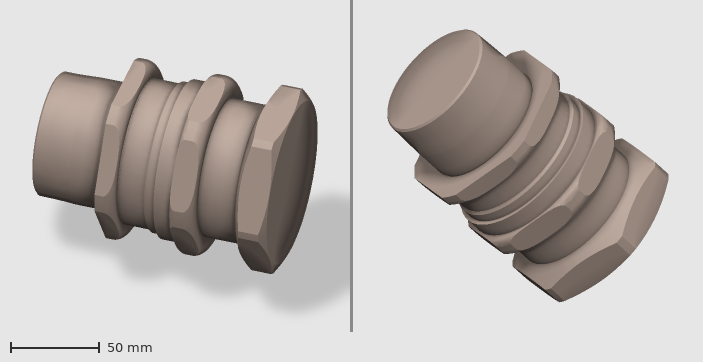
import cadquery as cq
import math


ACROSS_FLATS = 95.0
ROUNDED_NUT_D = 103.5

TAPER_END = 22.4
NECK_START = 41.8
LOCK_NUT_START = 42.2
LOCK_NUT_END = 52.6
SLEEVE_START = 68.2
RIM_START = 75.3
MIDDLE_NUT_START = 75.9
MIDDLE_HEX_START = 85.4
MIDDLE_HEX_END = 99.5
CAP_HEX_START = 121.2
TOTAL_LENGTH = 142.6

SPIGOT_D = 73.0
SPIGOT_TIP_D = 71.6
TIP_CHAMFER = 1.1
NECK_D = 71.9
NECK_INSERTION = 4.3

LOCK_ROUND_R = 6.0
LOCK_BARREL_D = 84.1
SOCKET_MOUTH_D = 74.0
COLLAR_D = 84.4
COLLAR_LENGTH = 0.7

SLEEVE_D = 87.3
SLEEVE_CHAMFER = 1.4

MIDDLE_FLANGE_D = 92.1
MIDDLE_FRONT_ROUND_R = 4.0
MIDDLE_REAR_ROUND_R = 6.0

CAP_BARREL_D = 79.9
CAP_CORNER_D = 107.0
CAP_CONE_LENGTH = 6.5
CAP_REAR_BEVEL_LENGTH = 3.0
CAP_REAR_FACE_D = 94.1


def revolve_profile(profile):
    """Revolve a closed half profile, drawn as (x, radius), about the X axis."""
    return profile.close().revolve(360, (0, 0, 0), (1, 0, 0))


def cylinder(diameter, start, end):
    return cq.Workplane("YZ", origin=(start, 0, 0)).circle(diameter / 2).extrude(end - start)


def hex_prism(start, end):
    across_corners = ACROSS_FLATS / math.cos(math.pi / 6)
    return cq.Workplane("YZ", origin=(start, 0, 0)).polygon(6, across_corners).extrude(end - start)


def rounded_hex(start, end, front_round, rear_round):
    """Hexagonal prism whose corners are trimmed by a disc with rounded rims."""
    disc = cylinder(ROUNDED_NUT_D, start, end).faces(">X").edges().fillet(rear_round)
    if front_round > 0:
        disc = disc.faces("<X").edges().fillet(front_round)
    return hex_prism(start, end).intersect(disc)


def make_spigot():
    tip_r = SPIGOT_TIP_D / 2
    outline = (
        cq.Workplane("XY")
        .moveTo(0, 0)
        .lineTo(0, tip_r - TIP_CHAMFER)
        .lineTo(TIP_CHAMFER, tip_r)
        .lineTo(TAPER_END, SPIGOT_D / 2)
        .lineTo(NECK_START, SPIGOT_D / 2)
        .lineTo(NECK_START, 0)
    )
    neck = cylinder(NECK_D, NECK_START, LOCK_NUT_START + NECK_INSERTION)
    return revolve_profile(outline).union(neck)


def make_lock_nut():
    collar_end = LOCK_NUT_END + COLLAR_LENGTH
    nut = rounded_hex(LOCK_NUT_START, LOCK_NUT_END, 0, LOCK_ROUND_R)
    collar = cylinder(COLLAR_D, LOCK_NUT_END, collar_end)
    barrel = cylinder(LOCK_BARREL_D, collar_end, SLEEVE_START)
    socket = cylinder(NECK_D, LOCK_NUT_START, LOCK_NUT_START + NECK_INSERTION)
    mouth_depth = (SOCKET_MOUTH_D - NECK_D) / 2
    countersink = revolve_profile(
        cq.Workplane("XY")
        .moveTo(LOCK_NUT_START, 0)
        .lineTo(LOCK_NUT_START, SOCKET_MOUTH_D / 2)
        .lineTo(LOCK_NUT_START + mouth_depth, NECK_D / 2)
        .lineTo(LOCK_NUT_START + mouth_depth, 0)
    )
    return nut.union(collar).union(barrel).cut(socket).cut(countersink)


def make_sleeve():
    sleeve = cylinder(SLEEVE_D, SLEEVE_START, RIM_START)
    sleeve = sleeve.faces("<X").edges().chamfer(SLEEVE_CHAMFER)
    rim = cylinder(MIDDLE_FLANGE_D, RIM_START, MIDDLE_NUT_START)
    return sleeve.union(rim)


def make_middle_nut():
    flange = cylinder(MIDDLE_FLANGE_D, MIDDLE_NUT_START, MIDDLE_HEX_START)
    nut = rounded_hex(MIDDLE_HEX_START, MIDDLE_HEX_END, MIDDLE_FRONT_ROUND_R, MIDDLE_REAR_ROUND_R)
    return flange.union(nut)


def make_cap_nut():
    corner_r = CAP_CORNER_D / 2
    trim = (
        cq.Workplane("XY")
        .moveTo(CAP_HEX_START, 0)
        .lineTo(CAP_HEX_START, CAP_BARREL_D / 2)
        .lineTo(CAP_HEX_START + CAP_CONE_LENGTH, corner_r)
        .lineTo(TOTAL_LENGTH - CAP_REAR_BEVEL_LENGTH, corner_r)
        .lineTo(TOTAL_LENGTH, CAP_REAR_FACE_D / 2)
        .lineTo(TOTAL_LENGTH, 0)
    )
    nut = hex_prism(CAP_HEX_START, TOTAL_LENGTH).intersect(revolve_profile(trim))
    return cylinder(CAP_BARREL_D, MIDDLE_HEX_END, CAP_HEX_START).union(nut)


spigot = make_spigot()
lock_nut = make_lock_nut()
sleeve = make_sleeve()
middle_nut = make_middle_nut()
cap_nut = make_cap_nut()

result = cq.Compound.makeCompound(
    [spigot.val(), lock_nut.val(), sleeve.val(), middle_nut.val(), cap_nut.val()]
)